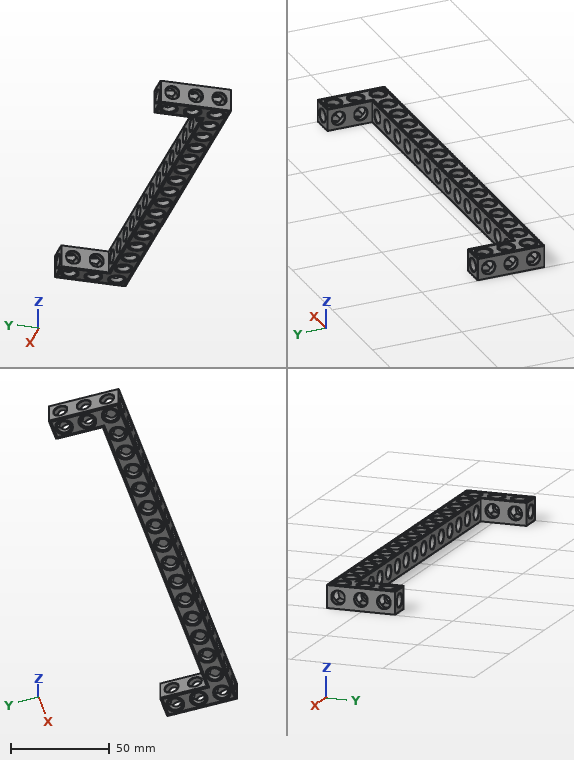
import cadquery as cq

length = 200.0
long_bar_holes = 16
arm_holes = 3
pitch = length / long_bar_holes
arm_reach = arm_holes * pitch

hole_diameter = 7.0
chamfer_size = 0.3

panel_depth = 0.2
ring_diameter = 9.2
rim_width = (ring_diameter - hole_diameter) / 2

half = pitch / 2
hole_centers = [half + i * pitch for i in range(long_bar_holes)]
arm_hole_centers = hole_centers[:arm_holes]
end_columns = (hole_centers[0], hole_centers[-1])

ALONG_X = cq.Vector(1, 0, 0)
ALONG_Y = cq.Vector(0, 1, 0)
ALONG_Z = cq.Vector(0, 0, 1)


def u_plate(inset, bottom, height):
    """U outline moved inward by the inset and raised from the bottom level."""
    outline = [
        (inset, inset),
        (length - inset, inset),
        (length - inset, arm_reach - inset),
        (length - pitch + inset, arm_reach - inset),
        (length - pitch + inset, pitch - inset),
        (pitch - inset, pitch - inset),
        (pitch - inset, arm_reach - inset),
        (inset, arm_reach - inset),
    ]
    return cq.Workplane("XY").workplane(offset=bottom).polyline(outline).close().extrude(height)


def bar_body():
    """Square-section U with every edge chamfered except the two inner corners."""
    body = u_plate(0, 0, pitch)
    inner_corners = [
        body.edges(cq.selectors.NearestToPointSelector((x, pitch, half))).val()
        for x in (pitch, length - pitch)
    ]
    sharp = [corner.hashCode() for corner in inner_corners]
    outer_edges = [edge for edge in body.edges().vals() if edge.hashCode() not in sharp]
    return body.newObject(outer_edges).chamfer(chamfer_size).val()


def hole_tool(start, direction, depth):
    """Cutter for one straight hole that is chamfered at both mouths."""
    radius = hole_diameter / 2
    end = start + direction * depth
    drill = cq.Solid.makeCylinder(radius, depth, start, direction)
    mouths = [
        cq.Solid.makeCone(radius + chamfer_size, radius, chamfer_size, start, direction),
        cq.Solid.makeCone(radius + chamfer_size, radius, chamfer_size, end, -direction),
    ]
    return drill.fuse(*mouths)


def panel_tool(bottom, hole_places):
    """Cutter for one sunken panel, with the rings around the holes left standing."""
    rings = (
        cq.Workplane("XY")
        .workplane(offset=bottom)
        .pushPoints(hole_places)
        .circle(ring_diameter / 2)
        .extrude(panel_depth)
    )
    return u_plate(rim_width, bottom, panel_depth).cut(rings).val()


vertical_places = [(x, half) for x in hole_centers]
vertical_places += [(x, y) for x in end_columns for y in arm_hole_centers[1:]]
cutters = [hole_tool(cq.Vector(x, y, 0), ALONG_Z, pitch) for x, y in vertical_places]

for x in hole_centers:
    depth = arm_reach if x in end_columns else pitch
    cutters.append(hole_tool(cq.Vector(x, 0, half), ALONG_Y, depth))

cutters.append(hole_tool(cq.Vector(0, half, half), ALONG_X, length))
for y in arm_hole_centers[1:]:
    for arm_start in (0, length - pitch):
        cutters.append(hole_tool(cq.Vector(arm_start, y, half), ALONG_X, pitch))

for panel_bottom in (0, pitch - panel_depth):
    cutters.append(panel_tool(panel_bottom, vertical_places))

result = cq.Workplane(bar_body().cut(*cutters)).solids()